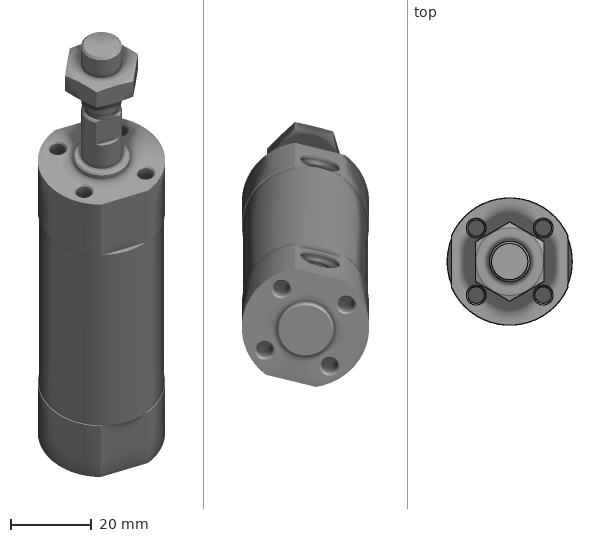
import cadquery as cq
import math

TOTAL_LENGTH = 136
HOUSING_LENGTH = 98.0
BOSS_HEIGHT = 2.0
HEAD_LENGTH = 17.5
MIDDLE_Z = HOUSING_LENGTH / 2
HEAD_TOP_Z = HOUSING_LENGTH - BOSS_HEIGHT
HEAD_BOTTOM_Z = HEAD_TOP_Z - HEAD_LENGTH

TUBE_DIAMETER = 31.0
HEAD_DIAMETER = 31.5
HEAD_ACROSS_FLATS = 28.8
BOSS_DIAMETER = 14.0
BOSS_CHAMFER = 0.4
BORE_DIAMETER = 25.0
BORE_BOTTOM_Z = 12.2
BORE_TOP_Z = HEAD_BOTTOM_Z
RECESS_DIAMETER = 16.7
RECESS_TOP_Z = HOUSING_LENGTH - BORE_BOTTOM_Z

MOUNTING_HOLE_DIAMETER = 4.1
MOUNTING_HOLE_MOUTH_DIAMETER = 4.9
MOUNTING_HOLE_DEPTH = 8.0
MOUNTING_HOLE_SPACING = 16.6

PORT_TO_HEAD_END = 11.0
PORT_Z = HEAD_TOP_Z - PORT_TO_HEAD_END
SPOTFACE_DIAMETER = 10.0
SPOTFACE_DEPTH = 1.0
PORT_DIAMETER = 4.9
PORT_MOUTH_DIAMETER = 5.8
PORT_DEPTH = 7.5

ROD_DIAMETER = 10.0
ROD_TIP_CHAMFER = 0.5
PISTON_LENGTH = 24.5
GROOVE_DIAMETER = 8.5
GROOVE_BOTTOM_Z = 114.1
GROOVE_WIDTH = 2.6
SHOULDER_CHAMFER = 0.4
WRENCH_ACROSS_FLATS = 7.9
WRENCH_FLAT_LENGTH = 8.0

NUT_BOTTOM_Z = 123.4
NUT_HEIGHT = 6.0
NUT_ACROSS_FLATS = 17.0
NUT_FACE_DIAMETER = 16.7
NUT_CHAMFER_ANGLE = 15


def cylinder(diameter, bottom_z, height):
    return cq.Workplane("XY").workplane(offset=bottom_z).circle(diameter / 2).extrude(height)


def countersunk_hole(mouth, direction, diameter, mouth_diameter, depth):
    """Blind hole with a 45 degree countersunk mouth, as a cutting tool."""
    countersink_depth = (mouth_diameter - diameter) / 2
    bore = cq.Solid.makeCylinder(diameter / 2, depth, mouth, direction)
    countersink = cq.Solid.makeCone(
        mouth_diameter / 2, diameter / 2, countersink_depth, mouth, direction
    )
    return cq.Workplane(bore.fuse(countersink))


def make_head():
    """Upper head with its boss, mounting holes and port; the lower head is its mirror image."""
    head = cylinder(HEAD_DIAMETER, HEAD_BOTTOM_Z, HEAD_LENGTH)
    flats = cq.Workplane("XY").box(HEAD_ACROSS_FLATS, HEAD_DIAMETER, 2 * HOUSING_LENGTH)
    head = head.intersect(flats)

    boss = cylinder(BOSS_DIAMETER, HEAD_TOP_Z, BOSS_HEIGHT).edges().chamfer(BOSS_CHAMFER)
    head = head.union(boss)

    downward = cq.Vector(0, 0, -1)
    offset = MOUNTING_HOLE_SPACING / 2
    for x in (-offset, offset):
        for y in (-offset, offset):
            mouth = cq.Vector(x, y, HEAD_TOP_Z)
            hole = countersunk_hole(
                mouth, downward, MOUNTING_HOLE_DIAMETER, MOUNTING_HOLE_MOUTH_DIAMETER, MOUNTING_HOLE_DEPTH
            )
            head = head.cut(hole)

    inward = cq.Vector(1, 0, 0)
    flat_center = cq.Vector(-HEAD_ACROSS_FLATS / 2, 0, PORT_Z)
    port_mouth = flat_center + inward * SPOTFACE_DEPTH
    spotface = cq.Solid.makeCylinder(SPOTFACE_DIAMETER / 2, SPOTFACE_DEPTH, flat_center, inward)
    port = countersunk_hole(port_mouth, inward, PORT_DIAMETER, PORT_MOUTH_DIAMETER, PORT_DEPTH)
    return head.cut(cq.Workplane(spotface)).cut(port)


def make_housing():
    upper_head = make_head()
    lower_head = upper_head.mirror("XY", (0, 0, MIDDLE_Z))
    tube_length = 2 * (HEAD_BOTTOM_Z - MIDDLE_Z)
    tube = cylinder(TUBE_DIAMETER, MIDDLE_Z - tube_length / 2, tube_length)
    housing = tube.union(upper_head).union(lower_head)

    bore = cylinder(BORE_DIAMETER, BORE_BOTTOM_Z, BORE_TOP_Z - BORE_BOTTOM_Z)
    recess = cylinder(RECESS_DIAMETER, BORE_TOP_Z, RECESS_TOP_Z - BORE_TOP_Z)
    rod_hole = cylinder(ROD_DIAMETER, RECESS_TOP_Z, HOUSING_LENGTH - RECESS_TOP_Z)
    return housing.cut(bore).cut(recess).cut(rod_hole)


def make_nut():
    """Hexagon with corners on the Y axis, chamfered to a round face at both ends."""
    hexagon = (
        cq.Workplane("XY")
        .workplane(offset=NUT_BOTTOM_Z)
        .polygon(6, NUT_ACROSS_FLATS, circumscribed=True)
        .extrude(NUT_HEIGHT)
    )
    face_radius = NUT_FACE_DIAMETER / 2
    corner_radius = NUT_ACROSS_FLATS / math.sqrt(3)
    chamfer_height = (corner_radius - face_radius) * math.tan(math.radians(NUT_CHAMFER_ANGLE))
    nut_top_z = NUT_BOTTOM_Z + NUT_HEIGHT
    chamfered_blank = (
        cq.Workplane("XZ")
        .moveTo(0, NUT_BOTTOM_Z)
        .lineTo(face_radius, NUT_BOTTOM_Z)
        .lineTo(corner_radius, NUT_BOTTOM_Z + chamfer_height)
        .lineTo(corner_radius, nut_top_z - chamfer_height)
        .lineTo(face_radius, nut_top_z)
        .lineTo(0, nut_top_z)
        .close()
        .revolve(360, (0, 0, 0), (0, 1, 0))
    )
    return hexagon.intersect(chamfered_blank)


def make_piston_rod():
    """Piston, rod and nut as one moving body, fully retracted."""
    piston = cylinder(BORE_DIAMETER, BORE_BOTTOM_Z, PISTON_LENGTH)
    shank = cylinder(ROD_DIAMETER, BORE_BOTTOM_Z, GROOVE_BOTTOM_Z - BORE_BOTTOM_Z)
    shank = shank.faces(">Z").chamfer(SHOULDER_CHAMFER)

    flats_bottom_z = GROOVE_BOTTOM_Z - WRENCH_FLAT_LENGTH
    for side in (-1, 1):
        flat = cq.Workplane("XY").box(
            ROD_DIAMETER, ROD_DIAMETER, WRENCH_FLAT_LENGTH, centered=(True, True, False)
        )
        x = side * (WRENCH_ACROSS_FLATS + ROD_DIAMETER) / 2
        shank = shank.cut(flat.translate((x, 0, flats_bottom_z)))

    thread_bottom_z = GROOVE_BOTTOM_Z + GROOVE_WIDTH
    groove = cylinder(GROOVE_DIAMETER, GROOVE_BOTTOM_Z, GROOVE_WIDTH)
    thread = cylinder(ROD_DIAMETER, thread_bottom_z, TOTAL_LENGTH - thread_bottom_z)
    thread = thread.faces(">Z").chamfer(ROD_TIP_CHAMFER)
    return piston.union(shank).union(groove).union(thread).union(make_nut())


housing = make_housing()
piston_rod = make_piston_rod()
result = cq.Compound.makeCompound([housing.val(), piston_rod.val()])